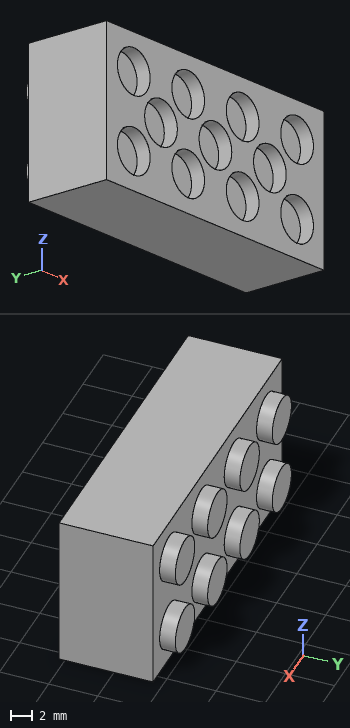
import cadquery as cq

pitch = 8.0
columns = 4
rows = 2
body_depth = 9.6
stud_diameter = 4.8
stud_height = 1.6
hole_diameter = 4.8
hole_depth = 1.6

length = columns * pitch
height = rows * pitch


def grid_points(column_count, row_count):
    """Centres (x, z) of a grid centred on the brick."""
    return [
        ((i - (column_count - 1) / 2) * pitch, (j - (row_count - 1) / 2) * pitch)
        for i in range(column_count)
        for j in range(row_count)
    ]


def cylinders_along_y(points, diameter, start_y, depth):
    """Round bars running from start_y towards +Y."""
    plane = cq.Workplane("XZ", origin=(0, start_y, 0))
    return plane.pushPoints(points).circle(diameter / 2).extrude(-depth)


body = cq.Workplane("XY").box(length, body_depth, height, centered=(True, False, True))

stud_points = grid_points(columns, rows)
studs = cylinders_along_y(stud_points, stud_diameter, body_depth, stud_height)

hole_points = stud_points + grid_points(columns - 1, rows - 1)
holes = cylinders_along_y(hole_points, hole_diameter, 0, hole_depth)

result = body.union(studs).cut(holes)